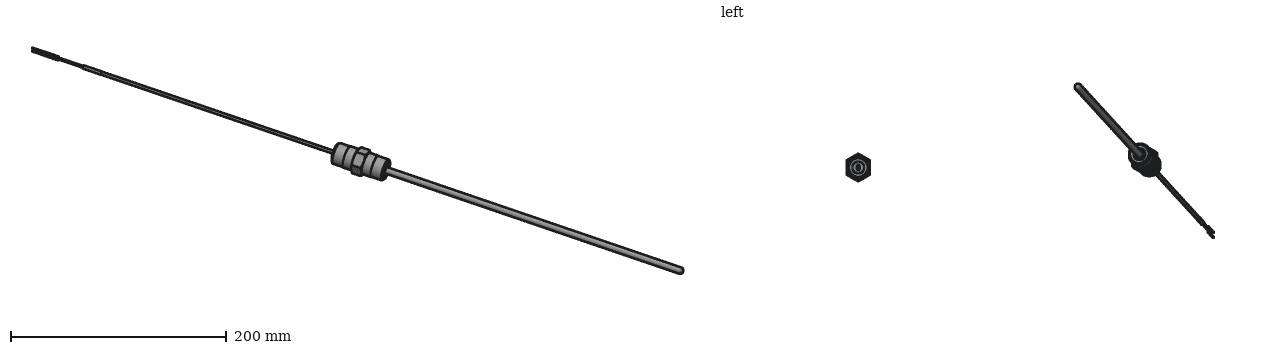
import cadquery as cq
import math

overall_length = 654.05

fitting_length = 52.0
hex_across_flats = 22.225
hex_length = 10.5
hex_chamfer_angle = math.radians(30)
hex_chamfer_diameter = 22.0
shoulder_diameter = 21.2
cap_diameter = 20.6
cap_length = 12.0
cap_chamfer = 1.6
mouth_diameter = 11.0
mouth_depth = 2.0

tube_diameter = 6.35
tube_length = 297.9
cable_diameter = 3.175
sleeve_diameter = 3.4
sleeve_length = 18.4

wire_diameter = 1.2
spread_length = 26.0
spread_spacing = 4.7
bare_diameter = 1.0
bare_length = 10.0
close_length = 25.0
close_spacing = 1.3

fitting_left = -fitting_length / 2
fitting_right = fitting_length / 2
tube_end = fitting_right + tube_length
wires_start = tube_end - overall_length
spread_end = wires_start + spread_length
sleeve_start = spread_end + close_length
hex_across_corners = hex_across_flats / math.cos(math.pi / 6)


def rod(start, length, diameter, z=0.0):
    """Solid round bar along +X, starting at X = start."""
    return cq.Workplane("YZ", origin=(start, 0, z)).circle(diameter / 2).extrude(length)


def make_hexagon():
    """Hexagon, one corner up, with its corners chamfered at both end faces."""
    face_radius = hex_chamfer_diameter / 2
    corner_radius = hex_across_corners / 2
    chamfer_run = (corner_radius - face_radius) * math.tan(hex_chamfer_angle)
    half = hex_length / 2
    prism = (
        cq.Workplane("YZ", origin=(-half, 0, 0))
        .polygon(6, hex_across_corners)
        .extrude(hex_length)
        .rotate((0, 0, 0), (1, 0, 0), 90)
    )
    envelope = (
        cq.Workplane("XY")
        .moveTo(-half, 0)
        .lineTo(-half, face_radius)
        .lineTo(-half + chamfer_run, corner_radius)
        .lineTo(half - chamfer_run, corner_radius)
        .lineTo(half, face_radius)
        .lineTo(half, 0)
        .close()
        .revolve(360, (0, 0, 0), (1, 0, 0))
    )
    return prism.intersect(envelope)


def make_fitting_blank():
    """Hexagon with a shoulder and a slightly smaller chamfered cap on each side."""
    shoulder_length = fitting_length - 2 * cap_length
    cap_radius = cap_diameter / 2
    chamfer_start = fitting_right - cap_chamfer
    caps = (
        cq.Workplane("XY")
        .moveTo(fitting_left, 0)
        .lineTo(fitting_left, cap_radius - cap_chamfer)
        .lineTo(-chamfer_start, cap_radius)
        .lineTo(chamfer_start, cap_radius)
        .lineTo(fitting_right, cap_radius - cap_chamfer)
        .lineTo(fitting_right, 0)
        .close()
        .revolve(360, (0, 0, 0), (1, 0, 0))
    )
    shoulder = rod(-shoulder_length / 2, shoulder_length, shoulder_diameter)
    return caps.union(shoulder).union(make_hexagon())


def make_fitting():
    """Fitting blank with a recess in each end face and a stepped bore that holds the probe."""
    body = make_fitting_blank()
    for mouth_start in (fitting_left, fitting_right - mouth_depth):
        body = body.cut(rod(mouth_start, mouth_depth, mouth_diameter))
    cable_bore = rod(fitting_left, -fitting_left, cable_diameter)
    tube_bore = rod(0, fitting_right, tube_diameter)
    return body.cut(cable_bore).cut(tube_bore)


def make_tube():
    """Closed tube with a hemispherical tip."""
    radius = tube_diameter / 2
    tip_centre = tube_end - radius
    arc_middle = radius * math.sqrt(0.5)
    return (
        cq.Workplane("XY")
        .lineTo(0, radius)
        .lineTo(tip_centre, radius)
        .threePointArc((tip_centre + arc_middle, arc_middle), (tube_end, 0))
        .close()
        .revolve(360, (0, 0, 0), (1, 0, 0))
    )


def make_wire(side):
    """One lead wire: close to its twin at the sleeve, then stepped outward to its bare free end."""
    close_z = side * close_spacing / 2
    spread_z = side * spread_spacing / 2
    jog_height = (spread_spacing - close_spacing) / 2
    close_run = rod(spread_end, sleeve_start - spread_end, wire_diameter, close_z)
    insulated_length = spread_length - bare_length
    bare_end = rod(wires_start, bare_length, bare_diameter, spread_z)
    spread_run = rod(wires_start + bare_length, insulated_length, wire_diameter, spread_z)
    jog = (
        cq.Workplane("XY", origin=(spread_end, 0, close_z))
        .circle(wire_diameter / 2)
        .extrude(side * jog_height)
    )
    wire = close_run.union(jog).union(spread_run).union(bare_end)
    for corner_z in (close_z, spread_z):
        corner = cq.Workplane("XY", origin=(spread_end, 0, corner_z)).sphere(wire_diameter / 2)
        wire = wire.union(corner)
    return wire


def make_probe():
    """Tube, thinner cable, sleeve and two lead wires, joined end to end as one body."""
    cable = rod(sleeve_start, -sleeve_start, cable_diameter)
    sleeve = rod(sleeve_start, sleeve_length, sleeve_diameter)
    probe = make_tube().union(cable).union(sleeve)
    for side in (-1, 1):
        probe = probe.union(make_wire(side))
    return probe


fitting = make_fitting()
probe = make_probe()

result = cq.Compound.makeCompound([fitting.solids().val(), probe.solids().val()])